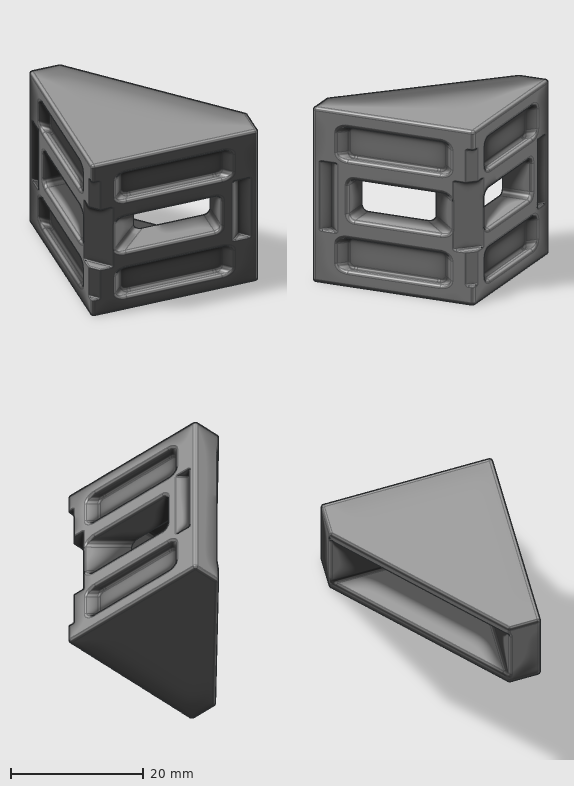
import cadquery as cq

height = 28.0
leg = 27.0
plate_thickness = 5.0
wall_thickness = 3.0
edge_radius = 0.5
small_radius = 0.2
corner_radius = 1.0

recess_near = 3.75
recess_far = 23.05
recess_height = 5.15
recess_depth = 1.5
recess_offset = 8.88

slot_near = 8.65
slot_far = 21.0
slot_height = 6.5

groove_distance = 24.3
groove_depth = 1.5

catch_height = 10.98
deep_flat = 3.5
shallow_flat = 1.4
shallow_flat_height = 21.75

overcut = 1.4
margin = 0.03


def prism(points, depth):
    """Extrude an XY outline evenly above and below Z = 0."""
    return cq.Workplane("XY").polyline(points).close().extrude(depth / 2, both=True)


def mirrored(cutter):
    """Copy a cutter of the Y = 0 plate onto the X = 0 plate."""
    return cutter.mirror(cq.Vector(1, 1, 0))


def fillet_inside(body, x_range, y_range, depth):
    """Round every edge lying wholly in a box that is centred on Z = 0."""
    half = depth / 2 + margin
    low = (x_range[0] - margin, y_range[0] - margin, -half)
    high = (x_range[1] + margin, y_range[1] + margin, half)
    return body.edges(cq.selectors.BoxSelector(low, high, boundingbox=True)).fillet(small_radius)


def make_shell():
    outline = [(0, 0), (-leg, 0), (-leg, plate_thickness), (-plate_thickness, leg), (0, leg)]
    opening = [
        (-plate_thickness, plate_thickness),
        (-leg - overcut, plate_thickness),
        (-leg - overcut, leg + overcut),
        (-plate_thickness, leg + overcut),
    ]
    shell = prism(outline, height).cut(prism(opening, height - 2 * wall_thickness))
    return shell.edges().fillet(edge_radius)


def round_ends(pocket):
    """Round the edges where the two end walls meet the long walls."""
    return pocket.faces("<X or >X").edges("not |Z").fillet(corner_radius)


def make_recess():
    outline = [
        (-recess_near + overcut, -overcut),
        (-recess_near - recess_depth, recess_depth),
        (-recess_far + recess_depth, recess_depth),
        (-recess_far - overcut, -overcut),
    ]
    recess = round_ends(prism(outline, recess_height))
    return recess.faces(">Y").edges().fillet(edge_radius)


def make_slot():
    inner = plate_thickness + overcut
    outline = [
        (-slot_near + inner, -overcut),
        (-slot_near - overcut, inner),
        (-slot_far, inner),
        (-slot_far, -overcut),
    ]
    return round_ends(prism(outline, slot_height))


def cut_pockets(body):
    """Cut the slots and recesses in both plates and round their rims."""
    recess = make_recess()
    upper_recess = recess.translate((0, 0, recess_offset))
    lower_recess = recess.translate((0, 0, -recess_offset))
    for cutter in (make_slot(), upper_recess, lower_recess):
        body = body.cut(cutter).cut(mirrored(cutter))
    for outer_face in ("<Y", ">X"):
        rims = body.faces(outer_face).val().innerWires()
        rim_edges = [edge for rim in rims for edge in rim.Edges()]
        body = body.newObject(rim_edges).fillet(edge_radius)
    return body


def cut_grooves(body):
    half_width = groove_depth + overcut
    outline = [
        (-groove_distance - half_width, -overcut),
        (-groove_distance, groove_depth),
        (-groove_distance + half_width, -overcut),
    ]
    groove = prism(outline, catch_height)
    body = body.cut(groove).cut(mirrored(groove))
    span = (groove_distance - groove_depth, groove_distance + groove_depth)
    depth_range = (0, groove_depth)
    body = fillet_inside(body, (-span[1], -span[0]), depth_range, catch_height)
    return fillet_inside(body, (-groove_depth, 0), span, catch_height)


def cut_corner_flat(body, size, flat_height):
    outline = [(-size - overcut, -overcut), (overcut, size + overcut), (overcut, -overcut)]
    body = body.cut(prism(outline, flat_height))
    reach = size + 2 * small_radius
    return fillet_inside(body, (-reach, 0), (0, reach), flat_height)


result = cut_pockets(make_shell())
result = cut_grooves(result)
result = cut_corner_flat(result, shallow_flat, shallow_flat_height)
result = cut_corner_flat(result, deep_flat, catch_height)